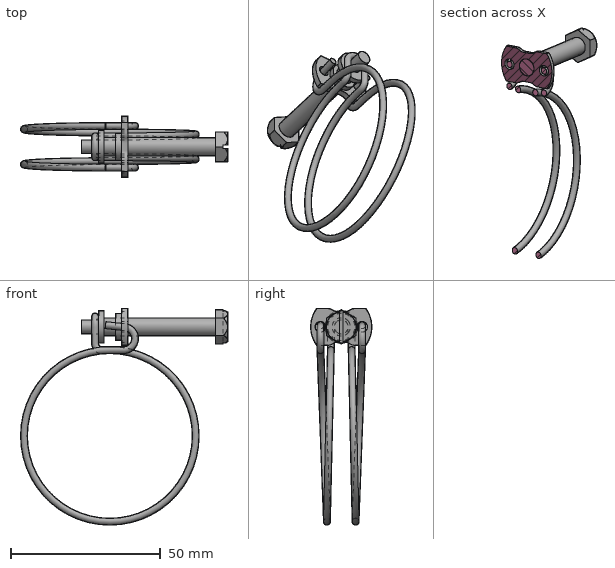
import cadquery as cq
import math


WIRE_DIA = 2.3
HOOP_RADIUS = 28.65
OUTER_Y = 6.95
BOTTOM_Y = 4.8
HOOK_START_X = 4.55
HOOK_RADIUS = 3.8
HOOK_END_SLOPE = 6.0
HOOK_TIP_X = -1.45
ELBOW_RADIUS = 2.2

AXIS_Z = 36.4
SHANK_DIA = 6.1
TIP_DIA = 4.6
TIP_X = -9.55
FLANGE_X = -3.75
FLANGE_DIA = 10.85
FLANGE_THICKNESS = 1.8
HEAD_X = 35.2
HEAD_END_X = 39.4
HEAD_FLATS = 10.0
HEAD_CHAMFER_LENGTH = 1.45
HEAD_FACE_DIA = 9.85
SLOT_WIDTH = 1.1
SLOT_DEPTH = 1.6

PLATE_X = 3.9
PLATE_THICKNESS = 2.1
PLATE_DIA = 20.5
PLATE_HALF_HEIGHT = 6.15
NOTCH_FLOOR_Z = 5.1
NOTCH_FLOOR_HALF = 1.3
NOTCH_TOP_HALF = 4.5
COLLAR_DIA = 9.05
COLLAR_LENGTH = 1.95
WIRE_HOLE_DIA = 3.5

LOOP_RADIUS = (TIP_DIA + WIRE_DIA) / 2
LOOP_X = FLANGE_X - WIRE_DIA / 2


def axis_plane(x):
    """Plane across the bolt axis: local x is +Y, local y is +Z, normal is +X."""
    return cq.Workplane("YZ", origin=(x, 0, AXIS_Z))


def rod(x_start, x_end, diameter):
    return axis_plane(x_start).circle(diameter / 2).extrude(x_end - x_start)


def arc(start, middle, end):
    return cq.Edge.makeThreePointArc(cq.Vector(*start), cq.Vector(*middle), cq.Vector(*end))


def line(start, end):
    return cq.Edge.makeLine(cq.Vector(*start), cq.Vector(*end))


def wire_side_path(side):
    """Centreline edges from the hook tip to the loop; side is +1 or -1 in Y."""
    outer_y = side * OUTER_Y
    bottom_y = side * BOTTOM_Y
    inner_y = side * LOOP_RADIUS

    def hook_point(turn):
        angle = math.radians(turn)
        return (
            HOOK_START_X + HOOK_RADIUS * math.sin(angle),
            outer_y,
            HOOP_RADIUS + HOOK_RADIUS * (1 - math.cos(angle)),
        )

    hook_turn = 180 - HOOK_END_SLOPE
    hook_end = hook_point(hook_turn)
    tip_rise = (hook_end[0] - HOOK_TIP_X) * math.tan(math.radians(HOOK_END_SLOPE))
    hook_tip = (HOOK_TIP_X, outer_y, hook_end[2] + tip_rise)
    hook_start = hook_point(0)

    def half_hoop_middle(top_y, direction):
        """Farthest point of a semicircle leaning from the hoop bottom to top_y."""
        reach = math.hypot(HOOP_RADIUS, (top_y - bottom_y) / 2)
        return (direction * reach, (top_y + bottom_y) / 2, 0)

    outer_top = (0, outer_y, HOOP_RADIUS)
    bottom = (0, bottom_y, -HOOP_RADIUS)
    inner_top = (0, inner_y, HOOP_RADIUS)

    elbow_start = (LOOP_X + ELBOW_RADIUS, inner_y, HOOP_RADIUS)
    elbow_inset = ELBOW_RADIUS * (1 - math.sqrt(0.5))
    elbow_middle = (LOOP_X + elbow_inset, inner_y, HOOP_RADIUS + elbow_inset)
    leg_bottom = (LOOP_X, inner_y, HOOP_RADIUS + ELBOW_RADIUS)
    leg_top = (LOOP_X, inner_y, AXIS_Z)

    return [
        line(hook_tip, hook_end),
        arc(hook_end, hook_point(hook_turn / 2), hook_start),
        line(hook_start, outer_top),
        arc(outer_top, half_hoop_middle(outer_y, -1), bottom),
        arc(bottom, half_hoop_middle(inner_y, 1), inner_top),
        line(inner_top, elbow_start),
        arc(elbow_start, elbow_middle, leg_bottom),
        line(leg_bottom, leg_top),
    ]


def make_wire_clamp():
    loop = arc(
        (LOOP_X, LOOP_RADIUS, AXIS_Z),
        (LOOP_X, 0, AXIS_Z + LOOP_RADIUS),
        (LOOP_X, -LOOP_RADIUS, AXIS_Z),
    )
    path = cq.Wire.assembleEdges(wire_side_path(1) + [loop] + wire_side_path(-1)[::-1])
    section = cq.Plane(origin=path.startPoint(), normal=path.tangentAt(0))
    return cq.Workplane(section).circle(WIRE_DIA / 2).sweep(cq.Workplane(path))


def make_bolt_head():
    corner_dia = HEAD_FLATS / math.cos(math.radians(30))
    length = HEAD_END_X - HEAD_X
    hexagon = axis_plane(HEAD_X).transformed(rotate=(0, 0, 90)).polygon(6, corner_dia).extrude(length)
    chamfer_envelope = (
        cq.Workplane("XY")
        .moveTo(HEAD_X, 0)
        .lineTo(HEAD_X, corner_dia / 2)
        .lineTo(HEAD_END_X - HEAD_CHAMFER_LENGTH, corner_dia / 2)
        .lineTo(HEAD_END_X, HEAD_FACE_DIA / 2)
        .lineTo(HEAD_END_X, 0)
        .close()
        .revolve(360, (0, 0, 0), (1, 0, 0))
        .translate((0, 0, AXIS_Z))
    )
    slot = axis_plane(HEAD_END_X - SLOT_DEPTH).rect(SLOT_WIDTH, 2 * corner_dia).extrude(SLOT_DEPTH)
    return hexagon.intersect(chamfer_envelope).cut(slot)


def make_bolt():
    tip = rod(TIP_X, FLANGE_X, TIP_DIA)
    flange = rod(FLANGE_X, FLANGE_X + FLANGE_THICKNESS, FLANGE_DIA)
    shank = rod(FLANGE_X, HEAD_X, SHANK_DIA)
    return shank.union(tip).union(flange).union(make_bolt_head())


def plate_notch(side):
    """Cutter for the smooth dip in the top (+1) or bottom (-1) plate edge."""
    edge_z = side * PLATE_HALF_HEIGHT
    floor_z = side * NOTCH_FLOOR_Z
    middle_y = (NOTCH_TOP_HALF + NOTCH_FLOOR_HALF) / 2
    middle_z = (edge_z + floor_z) / 2
    half_notch = (
        axis_plane(PLATE_X)
        .moveTo(0, floor_z)
        .lineTo(NOTCH_FLOOR_HALF, floor_z)
        .tangentArcPoint((middle_y, middle_z), relative=False)
        .tangentArcPoint((NOTCH_TOP_HALF, edge_z), relative=False)
        .lineTo(0, edge_z)
        .close()
        .extrude(PLATE_THICKNESS)
    )
    return half_notch.union(half_notch.mirror("XZ"))


def make_bridge_plate():
    plate_end_x = PLATE_X + PLATE_THICKNESS
    band = axis_plane(PLATE_X).rect(PLATE_DIA, 2 * PLATE_HALF_HEIGHT).extrude(PLATE_THICKNESS)
    plate = rod(PLATE_X, plate_end_x, PLATE_DIA).intersect(band)
    for side in (1, -1):
        plate = plate.cut(plate_notch(side))
        wire_hole = rod(PLATE_X, plate_end_x, WIRE_HOLE_DIA).translate((0, side * OUTER_Y, 0))
        plate = plate.cut(wire_hole)
    collar_x = PLATE_X - COLLAR_LENGTH
    plate = plate.union(rod(collar_x, PLATE_X, COLLAR_DIA))
    return plate.cut(rod(collar_x, plate_end_x, SHANK_DIA))


wire_clamp = make_wire_clamp()
bolt = make_bolt()
bridge_plate = make_bridge_plate()

result = cq.Compound.makeCompound([wire_clamp.val(), bolt.val(), bridge_plate.val()])